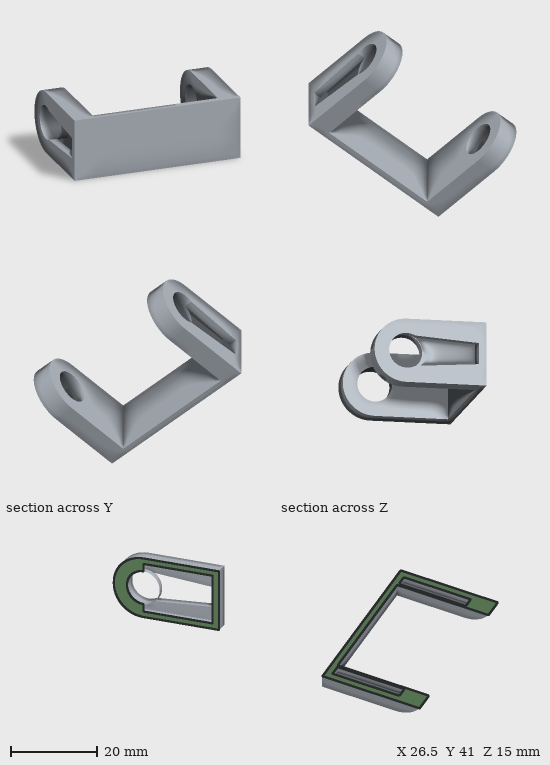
import cadquery as cq

length_x = 26.5
width_y = 41.0
height_z = 15.0

arm_thickness = 5.05
web_thickness = 1.6

hole_diameter = 8.2
hole_x = 0.05
relief_x = 0.12

skin_thickness = 1.95
slot_end_wall = 1.8
slot_end_height = 5.0
slot_height_at_hole = 7.5

cavity_depth = 2.4
cavity_height = 11.97
sleeve_wall = 0.12

end_radius = height_z / 2
hole_radius = hole_diameter / 2
web_outer_x = length_x - end_radius
web_inner_x = web_outer_x - web_thickness
slot_end_x = web_outer_x - slot_end_wall
outer_y = width_y / 2
inner_y = outer_y - arm_thickness
cavity_y = outer_y - skin_thickness


def profile_plane(y_distance):
    """XZ sketch plane on the -Y arm; positive extrusion runs outward to -Y."""
    return cq.Workplane("XZ", origin=(0, -y_distance, 0))


def make_blank():
    """Solid arm with a rounded end."""
    return (
        profile_plane(inner_y)
        .moveTo(0, end_radius)
        .lineTo(web_outer_x, end_radius)
        .lineTo(web_outer_x, -end_radius)
        .lineTo(0, -end_radius)
        .threePointArc((-end_radius, 0), (0, end_radius))
        .close()
        .extrude(arm_thickness)
    )


def make_slot():
    """Cutter for the tapered slot and relief circle in the outer skin."""
    taper = (
        profile_plane(outer_y)
        .moveTo(0, slot_height_at_hole / 2)
        .lineTo(slot_end_x, slot_end_height / 2)
        .lineTo(slot_end_x, -slot_end_height / 2)
        .lineTo(0, -slot_height_at_hole / 2)
        .close()
        .extrude(-skin_thickness)
    )
    relief = profile_plane(outer_y).center(relief_x, 0).circle(hole_radius).extrude(-skin_thickness)
    return taper.union(relief)


def make_cavity():
    """Cutter for the undercut cavity, leaving a sleeve around the hole."""
    cavity_length = slot_end_x - hole_x
    cavity = (
        profile_plane(cavity_y)
        .center(hole_x + cavity_length / 2, 0)
        .rect(cavity_length, cavity_height)
        .extrude(-cavity_depth)
    )
    sleeve = (
        profile_plane(cavity_y)
        .center(hole_x, 0)
        .circle(hole_radius + sleeve_wall)
        .extrude(-cavity_depth)
    )
    return cavity.cut(sleeve)


def make_arm():
    """Finished arm on the -Y side."""
    hole = profile_plane(inner_y).center(hole_x, 0).circle(hole_radius).extrude(arm_thickness)
    return make_blank().cut(hole).cut(make_slot()).cut(make_cavity())


web = cq.Workplane("XY").box(web_thickness, width_y - 2 * arm_thickness, height_z)
web = web.translate((web_inner_x + web_thickness / 2, 0, 0))

front_arm = make_arm()
back_arm = front_arm.mirror("XZ")
result = web.union(front_arm).union(back_arm)